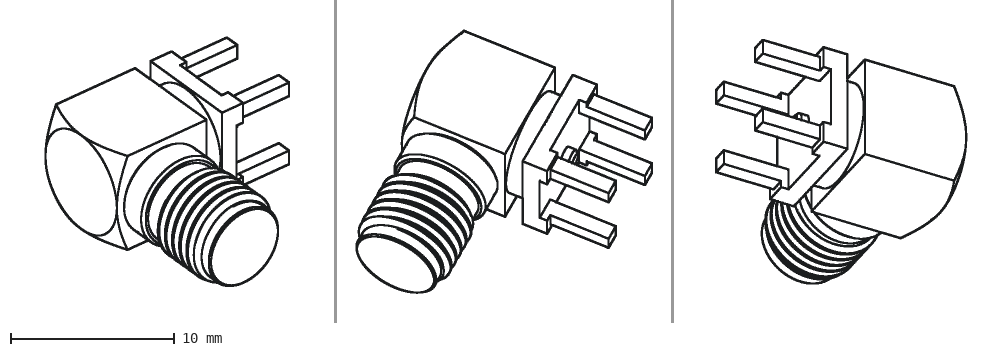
import cadquery as cq
import math


block_size = 7.0
block_half = block_size / 2
corner_bevel_angle = 30.0

neck_diameter = 6.7
neck_length = 1.2
base_thickness = 1.65
relief_depth = 0.5

leg_pitch = 5.08
leg_width = 1.02
leg_length = 3.95
contact_diameter = 1.27
contact_chamfer = 0.2
contact_height = 0.2

barrel_length = 8.1
barrel_diameter = 5.42
barrel_end_chamfer = 0.1
collar_diameter = 6.2
collar_length = 2.07
collar_chamfer = 0.2

thread_diameter = collar_diameter
thread_pitch = 0.7
thread_start = 3.1
thread_length = 4.2
crest_width = 0.16
flank_half_angle = 30.0
root_overlap = 0.04
crest_clearance = 0.2
thread_lead_in = 0.12

neck_y = block_half
base_y = neck_y + neck_length
pad_y = base_y + base_thickness
relief_y = pad_y - relief_depth
relief_width = leg_pitch - leg_width


def cylinder_along_y(diameter, y_start, y_end):
    """Cylinder on the Y axis between two Y positions."""
    plane = cq.Workplane("XZ", origin=(0, y_start, 0))
    return plane.circle(diameter / 2).extrude(y_start - y_end)


def cylinder_along_x(diameter, x_start, length):
    """Cylinder on the X axis."""
    return cq.Workplane("YZ", origin=(x_start, 0, 0)).circle(diameter / 2).extrude(length)


def make_block():
    """Cube whose front corners are bevelled by a cone around the Y axis."""
    cube = cq.Workplane("XY").box(block_size, block_size, block_size)
    outer_radius = block_size
    bevel_depth = (outer_radius - block_half) * math.tan(math.radians(corner_bevel_angle))
    envelope = (
        cq.Workplane("XY")
        .moveTo(0, -block_half)
        .lineTo(block_half, -block_half)
        .lineTo(outer_radius, -block_half + bevel_depth)
        .lineTo(outer_radius, block_half)
        .lineTo(0, block_half)
        .close()
        .revolve(360, (0, 0, 0), (0, 1, 0))
    )
    return cube.intersect(envelope)


def make_base():
    """Square plate with a cross-shaped relief that leaves four corner pads."""
    plate = cq.Workplane("XY").box(block_size, base_thickness, block_size)
    plate = plate.translate((0, (base_y + pad_y) / 2, 0))
    relief_centre = (0, (relief_y + pad_y) / 2, 0)
    for width, height in ((relief_width, block_size), (block_size, relief_width)):
        channel = cq.Workplane("XY").box(width, relief_depth, height)
        plate = plate.cut(channel.translate(relief_centre))
    return plate


def make_legs():
    """Four square legs standing on the corner pads."""
    length = leg_length + relief_depth
    return (
        cq.Workplane("XZ", origin=(0, relief_y, 0))
        .rarray(leg_pitch, leg_pitch, 2, 2)
        .rect(leg_width, leg_width)
        .extrude(-length)
    )


def make_contact():
    """Centre contact with a chamfered tip."""
    contact = cylinder_along_y(contact_diameter, base_y, pad_y + contact_height)
    return contact.faces(">Y").chamfer(contact_chamfer)


def make_barrel():
    """Plain barrel with its chamfered collar next to the block."""
    barrel = cylinder_along_x(barrel_diameter, block_half, barrel_length)
    barrel = barrel.faces(">X").chamfer(barrel_end_chamfer)
    collar = cylinder_along_x(collar_diameter, block_half, collar_length)
    collar = collar.faces("<X or >X").chamfer(collar_chamfer)
    return barrel.union(collar)


def make_thread():
    """Helical ridge trimmed by 45 degree cones at both ends."""
    crest_radius = thread_diameter / 2
    root_radius = barrel_diameter / 2 - root_overlap
    ridge_height = crest_radius - root_radius
    crest_half = crest_width / 2
    root_half = crest_half + ridge_height * math.tan(math.radians(flank_half_angle))

    first_crest = thread_lead_in - thread_pitch
    spare_turns = 2
    turns = math.ceil(thread_length / thread_pitch) + spare_turns
    helix = cq.Wire.makeHelix(thread_pitch, turns * thread_pitch, root_radius)
    ridge = (
        cq.Workplane("XZ")
        .moveTo(root_radius, -root_half)
        .lineTo(crest_radius, -crest_half)
        .lineTo(crest_radius, crest_half)
        .lineTo(root_radius, root_half)
        .close()
        .sweep(cq.Workplane(obj=helix), isFrenet=True)
        .translate((0, 0, first_crest))
    )

    core_radius = barrel_diameter / 2
    core = cq.Workplane("XY").circle(core_radius).extrude(thread_length)
    envelope_radius = crest_radius + crest_clearance
    run_out = envelope_radius - core_radius
    envelope = cq.Workplane("XY").circle(envelope_radius).extrude(thread_length)
    envelope = envelope.faces("<Z or >Z").chamfer(run_out)
    thread = ridge.intersect(envelope).union(core)

    thread = thread.rotate((0, 0, 0), (1, 1, 1), 120)
    return thread.translate((block_half + thread_start, 0, 0))


neck = cylinder_along_y(neck_diameter, neck_y, base_y)

result = (
    make_block()
    .union(neck)
    .union(make_base())
    .union(make_legs())
    .union(make_contact())
    .union(make_barrel())
    .union(make_thread())
)